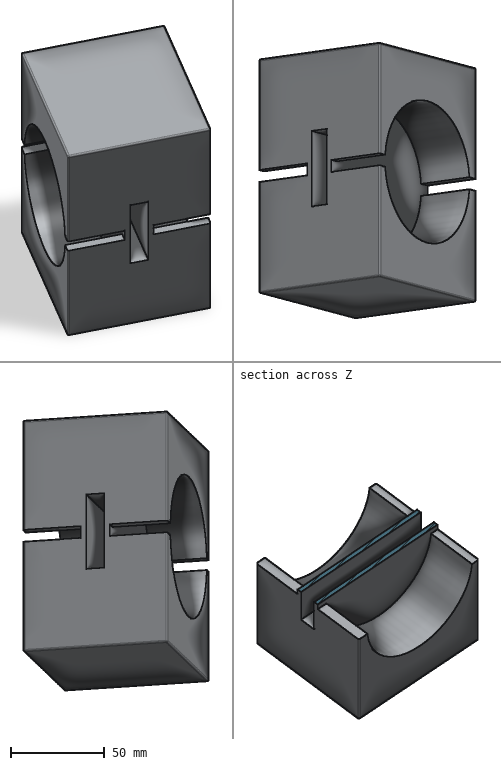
import cadquery as cq

BLOCK_X = 88.0
BLOCK_Y = 79.5
BLOCK_Z = 127.0
EDGE_RADIUS = 1.0

WEB_THICKNESS = 16.0
BORE_DIAMETER = 77.0
BORE_OFFSET_X = 0.7

GAP_HEIGHT = 6.5

WINDOW_Y = 10.0
WINDOW_Z = 41.0

POCKET_DEPTH = (BLOCK_Y - WEB_THICKNESS) / 2


def make_block():
    """Solid block with all outer edges rounded."""
    return cq.Workplane("XY").box(BLOCK_X, BLOCK_Y, BLOCK_Z).edges().fillet(EDGE_RADIUS)


def make_pocket(side):
    """Bore and horizontal gap on one side of the web (side = -1 front, +1 back)."""
    bore = (
        cq.Workplane("XZ", origin=(BORE_OFFSET_X, side * WEB_THICKNESS / 2, 0))
        .circle(BORE_DIAMETER / 2)
        .extrude(-side * POCKET_DEPTH)
    )
    gap_center_y = side * (WEB_THICKNESS + POCKET_DEPTH) / 2
    gap = cq.Workplane("XY").box(BLOCK_X, POCKET_DEPTH, GAP_HEIGHT).translate((0, gap_center_y, 0))
    return bore.union(gap)


def make_window():
    """Rectangular opening through the full width of the block."""
    return cq.Workplane("XY").box(BLOCK_X, WINDOW_Y, WINDOW_Z)


result = make_block()
for pocket_side in (-1, 1):
    result = result.cut(make_pocket(pocket_side))
result = result.cut(make_window())